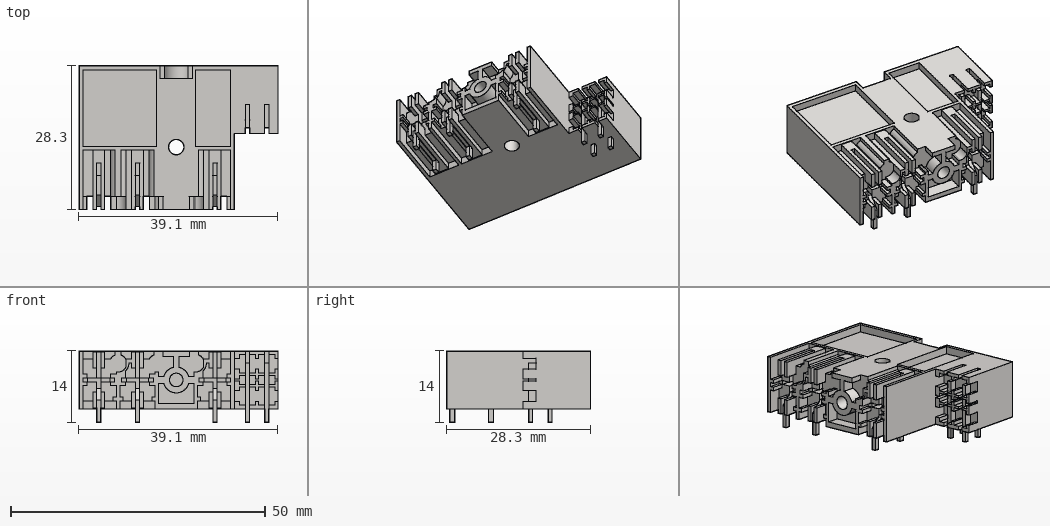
import cadquery as cq

length = 39.07
depth = 28.3
height = 11.4
wall = 0.75
main_length = 30.47
main_inner = main_length - wall
axis_z = 5.75
top_level = height - axis_z

pitch = 7.6
first_pin = 3.83
bay_pins = [first_pin, first_pin + pitch, first_pin + 3 * pitch]
center_x = first_pin + 2 * pitch
bay_depth = 11.72
front_depth = 2.6
core_half = 4.1

channels = [first_pin + (place + 0.5) * pitch for place in range(3)]
channel_level = 3.3
channel_z = axis_z + channel_level
channel_radius = 1.7
channel_side = 1.55
channel_shell = 0.4
neck_half = 0.6
web_half = 0.332
lip_reach = 0.98
lip_level = 3.35

rail_gap_half = 2.35
rail_half = 1.15
groove_half = 0.4
groove_reach = 0.8
pocket_half = 2.2

fork_half = 1.17
fork_inner = 2.4
fork_outer = 5.5
pin_width = 0.82
tail_length = 2.58
bay_tail_width = 1.0
pin_front = 0.6
pin_back = 9.22
ramp_back = 2.85
step_back = 6.72
ramp_low = 1.85
ramp_high = 4.1

ring_radius = 2.55
bore_radius = 1.33
bore_depth = 7.8
arm_half = 0.65
column_half = 0.5
plate_half = 2.58
plate_level = 4.65
screw_radius = 1.5
screw_y = 12.3

notch_half = 3.15
notch_depth = 2.5

recess_depth = 1.5
recess_front = 12.45
recess_back = depth - 0.85
recesses = [(0.8, 15.2), (22.8, main_inner)]

side_front = 14.95
side_pins = [33.05, 36.85]
side_pin_front = 16.1
side_pin_back = 20.7
side_pin_level = 3.35
side_tail_width = 0.8
side_cells = [(31.45, 34.6), (35.2, 38.5)]
side_slots = [
    (3.15, 1.05, 1.8),
    (0.0, 0.25, 0.9),
    (-3.15, 1.05, 1.8),
]


def box(x0, x1, y0, y1, z0, z1):
    return cq.Workplane("XY").box(x1 - x0, y1 - y0, z1 - z0, centered=False).translate((x0, y0, z0))


def front_box(x0, x1, low, high):
    """Bar through the front profile, with its heights counted from the mid plane."""
    return box(x0, x1, 0, front_depth, axis_z + low, axis_z + high)


def rod(x, z, radius, y0, y1):
    """Cylinder along Y."""
    return cq.Workplane("XZ", origin=(x, y0, z)).circle(radius).extrude(y0 - y1)


def pin_slot(x, y0, y1):
    """Slot of pin thickness through the full height."""
    return box(x - pin_width / 2, x + pin_width / 2, y0, y1, 0, height)


def blade(x, front, back, tail_width, top_edge):
    """Upright sheet metal pin with a tail under each end; top_edge runs from back to front."""
    outline = [
        (front, -tail_length),
        (front + tail_width, -tail_length),
        (front + tail_width, 0),
        (back - tail_width, 0),
        (back - tail_width, -tail_length),
        (back, -tail_length),
    ]
    plane = cq.Workplane("YZ", origin=(x - pin_width / 2, 0, 0))
    return plane.polyline(outline + top_edge).close().extrude(pin_width)


def open_bays(body, edge_half, z0, z1):
    """Cut the three bays between heights z0 and z1, leaving partitions of half width edge_half."""
    bays = [
        (wall, channels[0] - edge_half),
        (channels[0] + edge_half, channels[1] - edge_half),
        (channels[2] + edge_half, main_inner),
    ]
    for x0, x1 in bays:
        body = body.cut(box(x0, x1, 0, bay_depth, z0, z1))
    return body


def housing():
    body = box(0, main_length, 0, depth, 0, height)
    body = body.union(box(main_length, length, side_front, depth, 0, height))
    for x0, x1 in recesses:
        body = body.cut(box(x0, x1, recess_front, recess_back, height - recess_depth, height))
    body = open_bays(body, neck_half, axis_z + core_half, height)
    body = open_bays(body, web_half, 0, axis_z - core_half)
    body = body.cut(box(wall, main_inner, 0, front_depth, 0, height))
    for x in channels:
        body = body.union(rod(x, channel_z, channel_radius, front_depth, bay_depth))
    return body


def rails(pin, side, root):
    """Grooved rail on one side (-1 left, 1 right) of a pin, rooted at x = root."""
    mouth = pin + side * rail_gap_half
    x0, x1 = sorted((mouth, root))
    g0, g1 = sorted((mouth, mouth + side * groove_reach))
    return front_box(x0, x1, -rail_half, rail_half).cut(front_box(g0, g1, -groove_half, groove_half))


def web(x):
    """Upright web, topped by the channel but flat on the half that faces the center boss."""
    bottom = channel_level - channel_radius
    part = front_box(x - web_half, x + web_half, -axis_z, channel_level)
    part = part.cut(rod(x, channel_z, channel_radius, 0, front_depth))
    if x == channels[1]:
        part = part.cut(front_box(x, x + web_half, bottom, channel_level))
    if x == channels[2]:
        part = part.cut(front_box(x - web_half, x, bottom, channel_level))
    return part


def partition_left_side(x):
    """Rail and lip of the partition at x, facing the bay on its left."""
    lip = front_box(x - lip_reach, x, -core_half, -lip_level)
    return lip.union(rails(x - pitch / 2, 1, x))


def partition_right_side(x):
    """Channel shell, rail and lip of the partition at x, facing the bay on its right."""
    pin = x + pitch / 2
    rail_mouth = pin - rail_gap_half
    shell = rod(x, channel_z, channel_radius + channel_shell, 0, front_depth)
    part = shell.intersect(front_box(x, pin, 0, core_half))
    part = part.union(front_box(x, rail_mouth, 0, channel_level))
    part = part.union(front_box(x, pin - fork_half, lip_level, core_half))
    channel = rod(x, channel_z, channel_radius, 0, front_depth)
    channel = channel.union(front_box(x, x + channel_side, channel_level, core_half))
    part = part.cut(channel.intersect(front_box(x, x + channel_side, 0, top_level)))
    part = part.cut(front_box(x, rail_mouth, -groove_half, groove_half))
    lip = front_box(x, x + lip_reach, -core_half, -lip_level)
    return part.union(lip).union(rails(pin, -1, x))


def partitions():
    parts = rails(bay_pins[0], -1, wall).union(rails(bay_pins[2], 1, main_inner))
    for x in channels:
        parts = parts.union(web(x))
    for x in channels[:2]:
        parts = parts.union(partition_left_side(x))
    for x in (channels[0], channels[2]):
        parts = parts.union(partition_right_side(x))
    return parts


def center_boss():
    """Ring held by side arms and a column, with the top plate above and the box floor below."""
    left, right = channels[1], channels[2]
    boss = rod(center_x, axis_z, ring_radius, 0, front_depth)
    boss = boss.union(front_box(left, right, -arm_half, arm_half))
    boss = boss.union(front_box(left, right, -axis_z, -plate_level))
    boss = boss.union(front_box(center_x - column_half, center_x + column_half, 0, plate_level))
    return boss.union(front_box(center_x - plate_half, center_x + plate_half, plate_level, top_level))


def add_bay_contact(body, pin):
    """Fork pair, contact pocket and folded sheet metal pin of one bay."""
    fork_left, fork_right = pin - fork_half, pin + fork_half
    groove_low, groove_high = axis_z - groove_half, axis_z + groove_half
    body = body.union(box(fork_left, fork_right, 0, bay_depth, axis_z + fork_inner, axis_z + fork_outer))
    body = body.union(box(fork_left, fork_right, 0, bay_depth, axis_z - fork_outer, axis_z - fork_inner))
    body = body.cut(box(pin - pocket_half, pin + pocket_half, front_depth, pin_back, groove_low, groove_high))
    body = body.cut(pin_slot(pin, 0, pin_back))
    top_edge = [
        (pin_back, groove_high),
        (step_back, groove_high),
        (step_back, ramp_high),
        (ramp_back, ramp_high),
        (pin_front, ramp_low),
    ]
    body = body.union(blade(pin, pin_front, pin_back, bay_tail_width, top_edge))
    return body.union(box(pin - pocket_half, pin, step_back, pin_back, groove_low, groove_high))


def add_side_contacts(body):
    """Stepped slots across the side block face and its two pins."""
    slot_back = side_front + front_depth
    for offset, slot_half, cell_half in side_slots:
        z = axis_z + offset
        body = body.cut(box(main_length, length, side_front, slot_back, z - slot_half, z + slot_half))
        for x0, x1 in side_cells:
            body = body.cut(box(x0, x1, side_front, slot_back, z - cell_half, z + cell_half))
    pin_top = axis_z + side_pin_level
    top_edge = [(side_pin_back, pin_top), (side_pin_front, pin_top)]
    for pin in side_pins:
        body = body.cut(pin_slot(pin, side_front, side_pin_back))
        body = body.union(blade(pin, side_pin_front, side_pin_back, side_tail_width, top_edge))
    return body


def add_rear_notch(body):
    """Notch in the rear edge with a round boss rising from its floor."""
    front = depth - notch_depth
    floor = axis_z + rail_half
    body = body.cut(box(center_x - notch_half, center_x + notch_half, front, depth, floor, height))
    return body.union(rod(center_x, axis_z, ring_radius, front, depth))


result = housing().union(partitions()).union(center_boss())
for bay_pin in bay_pins:
    result = add_bay_contact(result, bay_pin)
result = add_side_contacts(result)
result = add_rear_notch(result)

result = result.cut(rod(center_x, axis_z, bore_radius, 0, bore_depth))
screw_hole = cq.Workplane("XY").center(center_x, screw_y).circle(screw_radius).extrude(height)
result = result.cut(screw_hole)